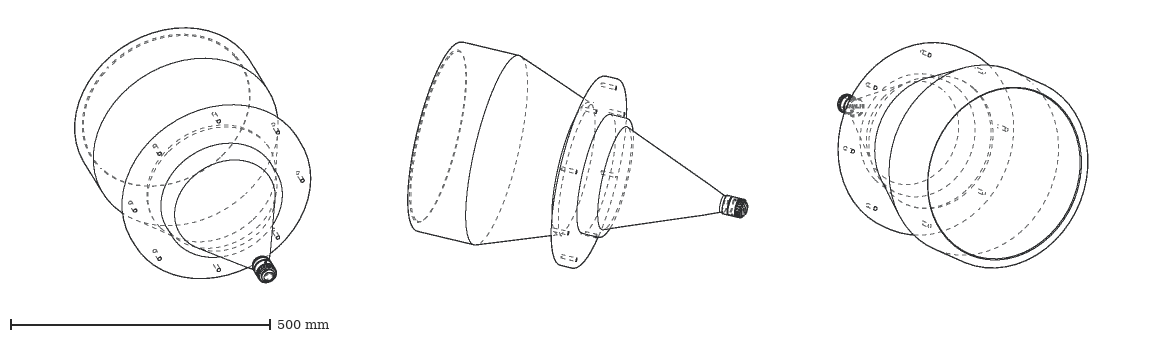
import cadquery as cq
import math

total_length = 628.0
body_diameter = 376.0
body_radius = body_diameter / 2

window_rim_radius = 171.0
window_recess = 2.0

drum_length = 120.0
drum_edge_radius = 6.0
front_cone_end = 276.0
waist_radius = 131.0

flange_start = 292.5
flange_end = 323.0
flange_edge_radius = 4.0
waist_fillet = 12.0
bolt_count = 8
bolt_circle_radius = 170.0
bolt_hole_diameter = 7.0

boss_end = 360.0
boss_radius = 118.0
boss_edge_radius = 4.0
rear_cone_radius = 102.5
rear_cone_joint = 547.0
joint_radius = 30.0
neck_start = 579.0
neck_radius = 17.0

connector_start = 584.5
connector_diameter = 37.0
connector_radius = connector_diameter / 2
connector_end = 622.0
connector_chamfer = 2.0
plug_radius = 13.0
plug_chamfer_length = 2.5
plug_chamfer_height = 4.0

ring_groove_starts = (594.5, 610.0)
ring_groove_width = 2.0
ring_groove_depth = 0.5

flute_count = 20
flute_start = 613.0
flute_length = 5.0
flute_radius = 1.0

screw_hole_count = 3
screw_hole_position = 604.0
screw_hole_diameter = 4.0
screw_hole_depth = 2.5
first_screw_angle = 84.0

ARC_MID = math.sqrt(0.5)


def ring_point(radius, angle):
    """Y and Z of a point on a circle about the X axis, with the angle in degrees from +Y."""
    return radius * math.cos(math.radians(angle)), radius * math.sin(math.radians(angle))


def quarter_arc(outline, center, radius, x_side, r_side, end):
    """Add a quarter arc whose middle lies on the given side of its center."""
    middle = (center[0] + x_side * radius * ARC_MID, center[1] + r_side * radius * ARC_MID)
    return outline.threePointArc(middle, end)


def leading_round(outline, x, radius, edge):
    """Round the outer edge of a face that looks toward -X."""
    outline = outline.lineTo(x, radius - edge)
    return quarter_arc(outline, (x + edge, radius - edge), edge, -1, 1, (x + edge, radius))


def trailing_round(outline, x, radius, edge):
    """Round the outer edge of a face that looks toward +X."""
    outline = outline.lineTo(x - edge, radius)
    return quarter_arc(outline, (x - edge, radius - edge), edge, 1, 1, (x, radius - edge))


def turned_body():
    """Half outline in the XY plane, revolved about the X axis."""
    outline = (
        cq.Workplane("XY")
        .moveTo(0, 0)
        .lineTo(window_recess, window_rim_radius - window_recess)
        .lineTo(0, window_rim_radius)
    )
    outline = leading_round(outline, 0, body_radius, drum_edge_radius)
    outline = (
        outline.lineTo(drum_length, body_radius)
        .lineTo(front_cone_end, waist_radius)
        .lineTo(flange_start - waist_fillet, waist_radius)
    )
    outline = quarter_arc(
        outline,
        (flange_start - waist_fillet, waist_radius + waist_fillet),
        waist_fillet,
        1,
        -1,
        (flange_start, waist_radius + waist_fillet),
    )
    outline = leading_round(outline, flange_start, body_radius, flange_edge_radius)
    outline = trailing_round(outline, flange_end, body_radius, flange_edge_radius)
    outline = outline.lineTo(flange_end, boss_radius)
    outline = trailing_round(outline, boss_end, boss_radius, boss_edge_radius)
    outline = (
        outline.lineTo(boss_end, rear_cone_radius)
        .lineTo(rear_cone_joint, joint_radius)
        .lineTo(neck_start, neck_radius)
        .lineTo(connector_start, neck_radius)
        .lineTo(connector_start, connector_radius)
        .lineTo(connector_end - connector_chamfer, connector_radius)
        .lineTo(connector_end, connector_radius - connector_chamfer)
        .lineTo(connector_end, plug_radius)
        .lineTo(total_length - plug_chamfer_length, plug_radius)
        .lineTo(total_length, plug_radius - plug_chamfer_height)
        .lineTo(total_length, 0)
        .close()
    )
    return outline.revolve(360, (0, 0, 0), (1, 0, 0))


def bolt_holes():
    """Holes through the flange."""
    return (
        cq.Workplane("YZ", origin=(flange_start, 0, 0))
        .polarArray(bolt_circle_radius, 0, 360, bolt_count)
        .circle(bolt_hole_diameter / 2)
        .extrude(flange_end - flange_start)
    )


def ring_groove(start):
    """Shallow groove around the connector."""
    return (
        cq.Workplane("YZ", origin=(start, 0, 0))
        .circle(connector_radius + ring_groove_depth)
        .circle(connector_radius - ring_groove_depth)
        .extrude(ring_groove_width)
    )


def grip_flutes():
    """Round-bottomed flutes along the connector's grip."""
    return (
        cq.Workplane("YZ", origin=(flute_start, 0, 0))
        .polarArray(connector_radius, 0, 360, flute_count)
        .circle(flute_radius)
        .extrude(flute_length)
    )


def screw_hole(angle):
    """Blind radial hole in the side of the connector."""
    y, z = ring_point(connector_radius, angle)
    inward = cq.Vector(0, -y, -z)
    return cq.Workplane(
        cq.Solid.makeCylinder(
            screw_hole_diameter / 2, screw_hole_depth, cq.Vector(screw_hole_position, y, z), inward
        )
    )


result = turned_body().cut(bolt_holes()).cut(grip_flutes())

for groove_start in ring_groove_starts:
    result = result.cut(ring_groove(groove_start))

for index in range(screw_hole_count):
    result = result.cut(screw_hole(first_screw_angle + index * 360 / screw_hole_count))